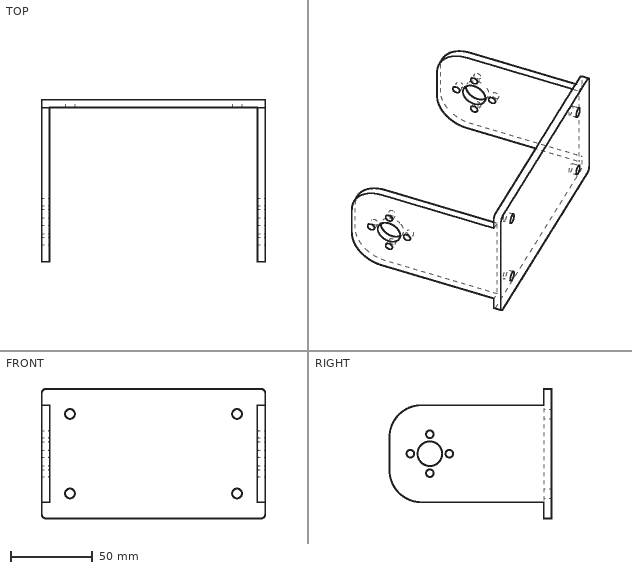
import cadquery as cq

width = 138.0
depth = 100.0
height = 80.0
thickness = 5.0

plate_corner_radius = 3.0
mount_hole_diameter = 6.0
mount_spacing_x = 103.0
mount_spacing_z = 49.0

arm_height = 60.0
arm_corner_radius = 20.0
bore_diameter = 15.0
bore_to_tip = 25.0
bolt_circle_radius = 12.0
bolt_hole_diameter = 4.5
bolt_count = 4


def make_plate():
    """Upright back plate with rounded corners and four mounting holes."""
    plate = (
        cq.Workplane("XZ")
        .rect(width, height)
        .extrude(thickness)
        .edges("|Y")
        .fillet(plate_corner_radius)
    )
    holes = (
        cq.Workplane("XZ")
        .rect(mount_spacing_x, mount_spacing_z, forConstruction=True)
        .vertices()
        .circle(mount_hole_diameter / 2)
        .extrude(thickness)
    )
    return plate.cut(holes)


def make_arm(start_x):
    """Arm with a rounded free end, a bore and a ring of bolt holes."""
    arm_length = depth - thickness
    arm_center_y = -thickness - arm_length / 2
    arm = (
        cq.Workplane("YZ", origin=(start_x, 0, 0))
        .center(arm_center_y, 0)
        .rect(arm_length, arm_height)
        .extrude(thickness)
        .edges("|X and <Y")
        .fillet(arm_corner_radius)
    )
    bore_plane = cq.Workplane("YZ", origin=(start_x, bore_to_tip - depth, 0))
    bore = bore_plane.circle(bore_diameter / 2).extrude(thickness)
    bolt_holes = (
        bore_plane.polarArray(bolt_circle_radius, 0, 360, bolt_count)
        .circle(bolt_hole_diameter / 2)
        .extrude(thickness)
    )
    return arm.cut(bore).cut(bolt_holes)


result = make_plate()
for arm_start_x in (-width / 2, width / 2 - thickness):
    result = result.union(make_arm(arm_start_x))